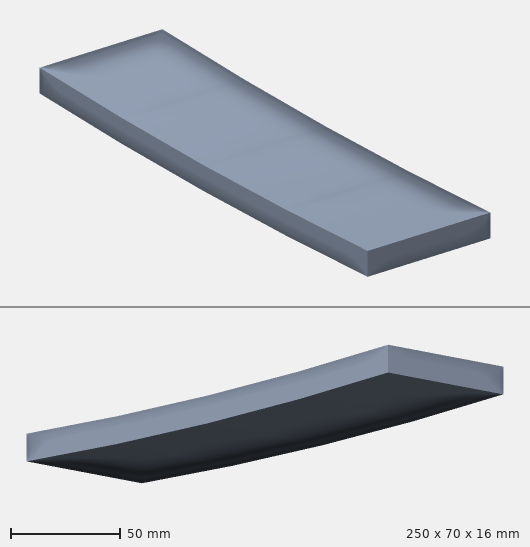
import cadquery as cq

length = 250.0
width = 70.0
thickness = 13.0
sag = 3.0

half_length = length / 2

profile = (
    cq.Workplane("XZ")
    .moveTo(-half_length, sag)
    .threePointArc((0, 0), (half_length, sag))
    .lineTo(half_length, sag + thickness)
    .threePointArc((0, thickness), (-half_length, sag + thickness))
    .close()
)

result = profile.extrude(width / 2, both=True)